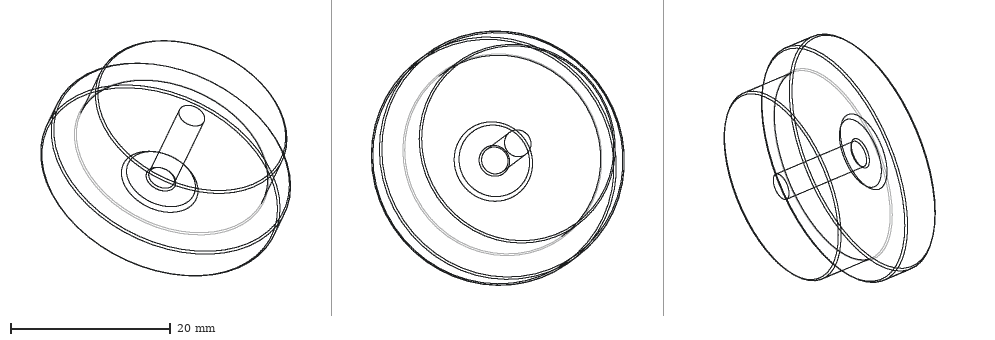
import cadquery as cq
import math

flange_diameter = 31.75
boss_diameter = 25.4
total_length = 12.7
flange_thickness = 4.7
edge_chamfer = 0.25
root_fillet = 0.2

recess_mouth_diameter = 10.15
recess_depth = 0.5

bore_diameter = 3.43
bore_chamfer = 0.25

flange_radius = flange_diameter / 2
boss_radius = boss_diameter / 2
recess_mouth_radius = recess_mouth_diameter / 2
recess_floor_radius = recess_mouth_radius - recess_depth
bore_radius = bore_diameter / 2

front_y = -total_length / 2
back_y = total_length / 2
shoulder_y = front_y + flange_thickness
recess_floor_y = front_y + recess_depth

arc_inset = root_fillet * (1 - math.cos(math.pi / 4))
root_arc_middle = (boss_radius + arc_inset, shoulder_y + arc_inset)
root_arc_end = (boss_radius, shoulder_y + root_fillet)

half_section = (
    cq.Workplane("XY")
    .moveTo(bore_radius, back_y)
    .lineTo(bore_radius, recess_floor_y + bore_chamfer)
    .lineTo(bore_radius + bore_chamfer, recess_floor_y)
    .lineTo(recess_floor_radius, recess_floor_y)
    .lineTo(recess_mouth_radius, front_y)
    .lineTo(flange_radius - edge_chamfer, front_y)
    .lineTo(flange_radius, front_y + edge_chamfer)
    .lineTo(flange_radius, shoulder_y - edge_chamfer)
    .lineTo(flange_radius - edge_chamfer, shoulder_y)
    .lineTo(boss_radius + root_fillet, shoulder_y)
    .threePointArc(root_arc_middle, root_arc_end)
    .lineTo(boss_radius, back_y - edge_chamfer)
    .lineTo(boss_radius - edge_chamfer, back_y)
    .close()
)

result = half_section.revolve(360, (0, 0, 0), (0, 1, 0))